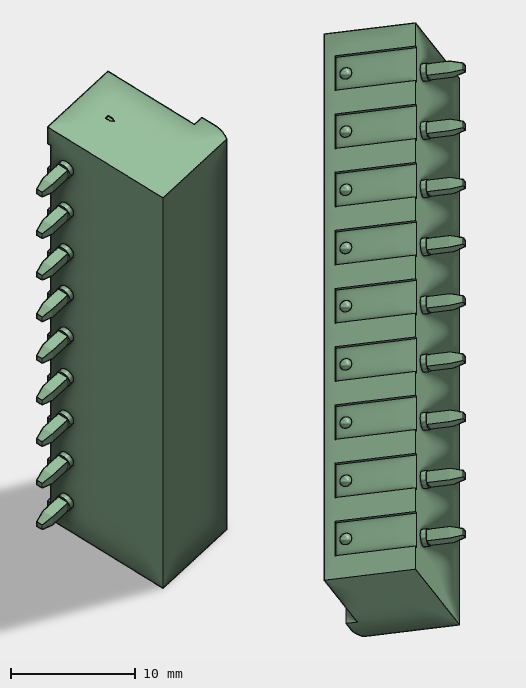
import cadquery as cq

HOUSING_LENGTH = 47.7
HOUSING_WIDTH = 12.0
HOUSING_DEPTH = 7.7

RIDGE_START_X = 8.95
RIDGE_HEIGHT = 0.95
RIDGE_FLAT = 1.6
RIDGE_DROP = 0.52
RIDGE_BULGE = 0.1

CONTACT_COUNT = 9
END_MARGIN = 3.55
CONTACT_PITCH = (HOUSING_LENGTH - 2 * END_MARGIN) / (CONTACT_COUNT - 1)
CONTACT_HEIGHTS = [END_MARGIN + i * CONTACT_PITCH for i in range(CONTACT_COUNT)]

PIN_X = 2.0
PIN_LENGTH = 3.5
PIN_WIDTH = 1.0
PIN_TIP_LENGTH = 1.05
PIN_TIP_WIDTH = 0.55
COLLAR_DIAMETER = 1.45
COLLAR_LENGTH = 0.5

POCKET_DEPTH = 0.35
POCKET_REACH = 6.8
POCKET_HEIGHT = 3.0
STUD_DIAMETER = 1.0
STUD_Y = 5.95

MARK_X = 3.0
MARK_Y = 3.85
MARK_LENGTH = 0.75
MARK_TAIL = 0.5
MARK_WIDTH = 0.35
MARK_DEPTH = 0.1


def make_housing():
    ridge_top = HOUSING_DEPTH + RIDGE_HEIGHT
    flat_end = RIDGE_START_X + RIDGE_FLAT
    shoulder_middle = (
        (flat_end + HOUSING_WIDTH) / 2,
        ridge_top - RIDGE_DROP / 2 + RIDGE_BULGE,
    )
    return (
        cq.Workplane("XY")
        .moveTo(0, 0)
        .lineTo(HOUSING_WIDTH, 0)
        .lineTo(HOUSING_WIDTH, ridge_top - RIDGE_DROP)
        .threePointArc(shoulder_middle, (flat_end, ridge_top))
        .lineTo(RIDGE_START_X, ridge_top)
        .lineTo(RIDGE_START_X, HOUSING_DEPTH)
        .lineTo(0, HOUSING_DEPTH)
        .close()
        .extrude(HOUSING_LENGTH)
    )


def make_pocket(z):
    return cq.Workplane("XY").box(
        POCKET_DEPTH, POCKET_REACH, POCKET_HEIGHT, centered=(False, False, True)
    ).translate((0, 0, z))


def make_stud(z):
    """Dome rising from the pocket floor to the level of the side face."""
    base_radius = STUD_DIAMETER / 2
    sphere_radius = (base_radius**2 + POCKET_DEPTH**2) / (2 * POCKET_DEPTH)
    sphere = cq.Workplane("XY").sphere(sphere_radius).translate((sphere_radius, STUD_Y, z))
    return sphere.intersect(make_pocket(z))


def make_pin(z):
    """Round collar, square shank and tapered square tip."""
    root = cq.Workplane("XZ", origin=(PIN_X, 0, z))
    shank_length = PIN_LENGTH - PIN_TIP_LENGTH
    collar = root.circle(COLLAR_DIAMETER / 2).extrude(COLLAR_LENGTH)
    shank = root.rect(PIN_WIDTH, PIN_WIDTH).extrude(shank_length)
    tip = (
        root.workplane(offset=shank_length)
        .rect(PIN_WIDTH, PIN_WIDTH)
        .workplane(offset=PIN_TIP_LENGTH)
        .rect(PIN_TIP_WIDTH, PIN_TIP_WIDTH)
        .loft()
    )
    return collar.union(shank).union(tip)


def make_mark():
    half_width = MARK_WIDTH / 2
    return (
        cq.Workplane("XY", origin=(MARK_X, MARK_Y, HOUSING_LENGTH))
        .moveTo(0, -half_width)
        .lineTo(MARK_TAIL, -half_width)
        .lineTo(MARK_LENGTH, 0)
        .lineTo(MARK_TAIL, half_width)
        .lineTo(0, half_width)
        .close()
        .extrude(-MARK_DEPTH)
    )


result = make_housing().cut(make_mark())
for contact_z in CONTACT_HEIGHTS:
    result = result.cut(make_pocket(contact_z))
    result = result.union(make_stud(contact_z))
    result = result.union(make_pin(contact_z))